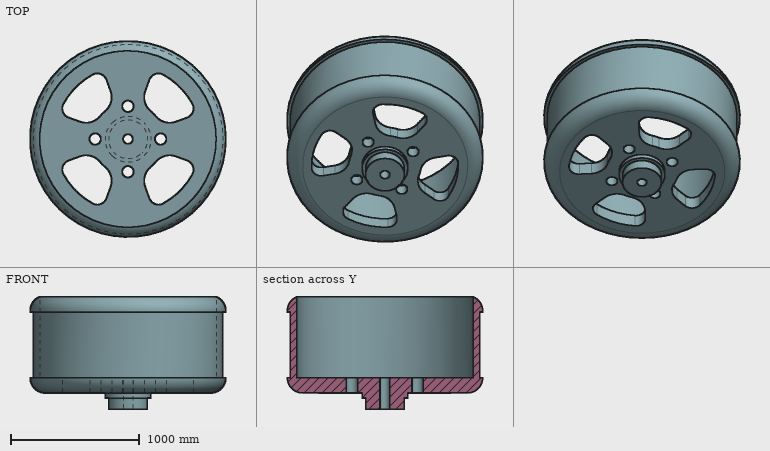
import cadquery as cq
import math

outer_radius = 762.0
wall_radius = 738.0
bore_radius = 686.0
drum_height = 750.0
floor_thickness = 120.0
lip_height = 120.0
lip_round = 120.0

total_height = 876.0
collar_radius = 178.0
collar_height = 40.0
stub_radius = 151.0
stub_height = total_height - drum_height - collar_height

center_hole_diameter = 73.0
bolt_hole_diameter = 87.0
bolt_circle_radius = 255.0
bolt_count = 4

window_count = 4
window_inner_radius = 280.0
window_outer_radius = 570.0
window_half_angle = 25.0
window_inner_fillet = 140.0
window_outer_fillet = 75.0


def polar(radius, degrees):
    """Point at the given radius and angle about the drum axis."""
    angle = math.radians(degrees)
    return (radius * math.cos(angle), radius * math.sin(angle))


def make_drum():
    round_center = outer_radius - lip_round
    rim_rise = math.sqrt(lip_round**2 - (bore_radius - round_center) ** 2)
    upper_round_start = drum_height - rim_rise
    diagonal = lip_round * math.sqrt(0.5)
    rim_angle = math.acos((bore_radius - round_center) / lip_round)
    mid_x, mid_z = polar(lip_round, math.degrees(rim_angle) / 2)
    return (
        cq.Workplane("XZ")
        .moveTo(0, 0)
        .lineTo(round_center, 0)
        .threePointArc((round_center + diagonal, lip_round - diagonal), (outer_radius, lip_height))
        .lineTo(wall_radius, lip_height)
        .lineTo(wall_radius, drum_height - lip_height)
        .lineTo(outer_radius, drum_height - lip_height)
        .lineTo(outer_radius, upper_round_start)
        .threePointArc((round_center + mid_x, upper_round_start + mid_z), (bore_radius, drum_height))
        .lineTo(bore_radius, floor_thickness)
        .lineTo(0, floor_thickness)
        .close()
        .revolve(360, (0, 0), (0, 1))
    )


def make_hub():
    collar = cq.Workplane("XY").circle(collar_radius).extrude(-collar_height)
    return collar.faces("<Z").workplane().circle(stub_radius).extrude(stub_height)


def make_window():
    """Rounded cutter centered on +X, bounded by two arcs and two radial sides."""
    inner_center = window_inner_radius + window_inner_fillet
    outer_center = window_outer_radius - window_outer_fillet
    inner_offset = math.degrees(math.asin(window_inner_fillet / inner_center))
    outer_offset = math.degrees(math.asin(window_outer_fillet / outer_center))
    inner_angle = window_half_angle - inner_offset
    outer_angle = window_half_angle - outer_offset
    inner_side = math.sqrt(inner_center**2 - window_inner_fillet**2)
    outer_side = math.sqrt(outer_center**2 - window_outer_fillet**2)

    def corner_middle(center_radius, center_angle, fillet, direction):
        x, y = polar(center_radius, center_angle)
        dx, dy = polar(fillet, direction)
        return (x + dx, y + dy)

    side_normal = window_half_angle + 90
    outer_middle = corner_middle(
        outer_center, outer_angle, window_outer_fillet, (side_normal + outer_angle) / 2
    )
    inner_middle = corner_middle(
        inner_center, inner_angle, window_inner_fillet, (side_normal + inner_angle + 180) / 2
    )

    def mirrored(point):
        return (point[0], -point[1])

    inner_ring_end = polar(window_inner_radius, inner_angle)
    outer_ring_end = polar(window_outer_radius, outer_angle)
    inner_side_end = polar(inner_side, window_half_angle)
    outer_side_end = polar(outer_side, window_half_angle)
    return (
        cq.Workplane("XY")
        .moveTo(*mirrored(inner_ring_end))
        .threePointArc((window_inner_radius, 0), inner_ring_end)
        .threePointArc(inner_middle, inner_side_end)
        .lineTo(*outer_side_end)
        .threePointArc(outer_middle, outer_ring_end)
        .threePointArc((window_outer_radius, 0), mirrored(outer_ring_end))
        .threePointArc(mirrored(outer_middle), mirrored(outer_side_end))
        .lineTo(*mirrored(inner_side_end))
        .threePointArc(mirrored(inner_middle), mirrored(inner_ring_end))
        .close()
        .extrude(floor_thickness)
    )


def make_bolt_holes():
    return (
        cq.Workplane("XY")
        .polarArray(bolt_circle_radius, 0, 360, bolt_count)
        .circle(bolt_hole_diameter / 2)
        .extrude(floor_thickness)
    )


def make_center_hole():
    hub_bottom = drum_height - total_height
    return (
        cq.Workplane("XY", origin=(0, 0, hub_bottom))
        .circle(center_hole_diameter / 2)
        .extrude(floor_thickness - hub_bottom)
    )


result = make_drum().union(make_hub()).cut(make_bolt_holes()).cut(make_center_hole())

window = make_window()
window_pitch = 360 / window_count
for index in range(window_count):
    window_angle = (index + 0.5) * window_pitch
    result = result.cut(window.rotate((0, 0, 0), (0, 0, 1), window_angle))